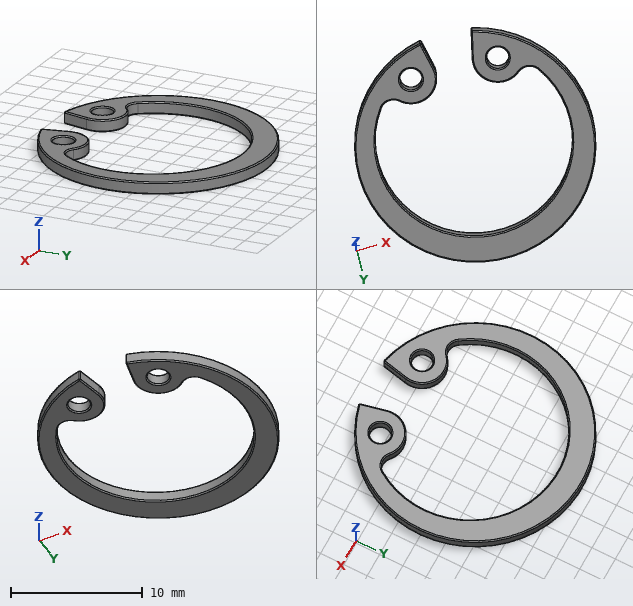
import cadquery as cq
import math

thickness = 1.0
outer_radius = 9.15
bore_radius = 7.48
bore_offset_y = -0.43
lug_radius = 1.95
lug_x = 3.40
lug_y = -6.35
eye_diameter = 1.7
root_radius = 1.0
tip_y = -8.935
edge_chamfer = 0.1
tip_chamfer = 0.08


def polar(center, radius, angle):
    """Point at the given radius and angle (radians) around a centre."""
    return (center[0] + radius * math.cos(angle), center[1] + radius * math.sin(angle))


def direction(start, end):
    """Angle in radians of the line from start to end."""
    return math.atan2(end[1] - start[1], end[0] - start[0])


def mirrored(point):
    """Matching point on the other side of the YZ plane."""
    return (-point[0], point[1])


def root_center(bore_center, lug_center):
    """Centre of the arc tangent inside the bore and outside the right-hand lug."""
    from_bore = bore_radius - root_radius
    from_lug = lug_radius + root_radius
    spacing = math.dist(bore_center, lug_center)
    cosine = (from_bore**2 + spacing**2 - from_lug**2) / (2 * from_bore * spacing)
    angle = direction(bore_center, lug_center) + math.acos(cosine)
    return polar(bore_center, from_bore, angle)


def ring_profile():
    """Closed outline, starting at the right-hand tip."""
    origin = (0, 0)
    bore_center = (0, bore_offset_y)
    lug_center = (lug_x, lug_y)
    root = root_center(bore_center, lug_center)

    tip = (math.sqrt(outer_radius**2 - tip_y**2), tip_y)
    tangent_angle = math.acos(lug_radius / math.dist(lug_center, tip))
    flank_angle = direction(lug_center, tip) - tangent_angle
    flank_end = polar(lug_center, lug_radius, flank_angle)

    lug_end_angle = direction(lug_center, root)
    lug_end = polar(lug_center, lug_radius, lug_end_angle)
    lug_start_angle = flank_angle + 2 * math.pi
    lug_mid = polar(lug_center, lug_radius, (lug_start_angle + lug_end_angle) / 2)

    bore_angle = direction(bore_center, root)
    bore_end = polar(bore_center, bore_radius, bore_angle)
    root_mid_angle = (direction(root, lug_center) + bore_angle) / 2
    root_mid = polar(root, root_radius, root_mid_angle)

    outer_top = polar(origin, outer_radius, math.pi / 2)
    bore_top = polar(bore_center, bore_radius, math.pi / 2)

    return (
        cq.Workplane("XY")
        .moveTo(*tip)
        .lineTo(*flank_end)
        .threePointArc(lug_mid, lug_end)
        .threePointArc(root_mid, bore_end)
        .threePointArc(bore_top, mirrored(bore_end))
        .threePointArc(mirrored(root_mid), mirrored(lug_end))
        .threePointArc(mirrored(lug_mid), mirrored(flank_end))
        .lineTo(*mirrored(tip))
        .threePointArc(outer_top, tip)
        .close()
    )


def ring_blank():
    """Flat ring, centred on the XY plane, with a flat across each tip corner."""
    blank = ring_profile().extrude(thickness).translate((0, 0, -thickness / 2))
    return blank.edges("|Z").edges("<Y").chamfer(tip_chamfer)


def lug_eyes():
    """Through holes for the pliers."""
    return (
        cq.Workplane("XY", origin=(0, 0, -thickness / 2))
        .pushPoints([(-lug_x, lug_y), (lug_x, lug_y)])
        .circle(eye_diameter / 2)
        .extrude(thickness)
    )


ring = ring_blank().cut(lug_eyes())
result = ring.faces("|Z").edges().chamfer(edge_chamfer)